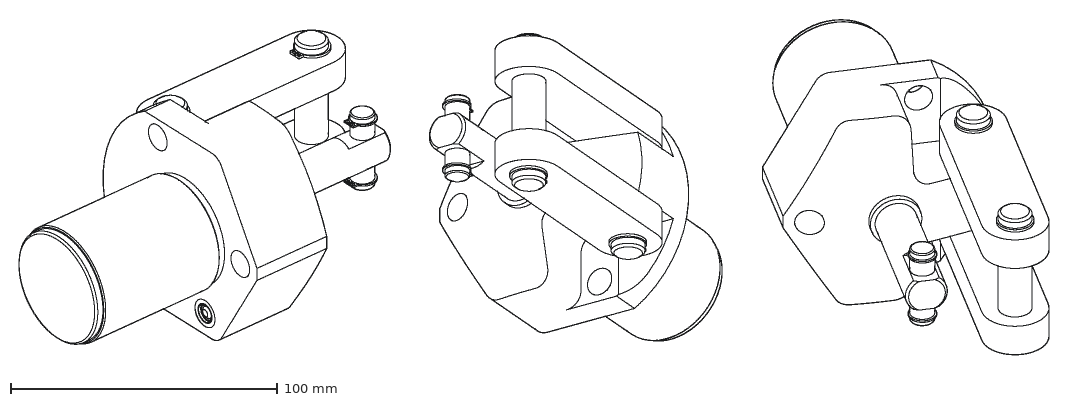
import cadquery as cq
import math


overall_length = 168.3
cylinder_length = 63.5
link_tip_y = overall_length - cylinder_length

head_radius = 47.5
head_height = 82.6
head_right_x = 41.4
head_slant_distance = 37.2
head_slant_angle = 30.0
head_corner_radius = 6.4
head_length = 41.2
cone_flat_radius = 16.5
cone_angle = 15.0
boss_radius = 10.0
boss_length = 2.5
head_top_z = head_height / 2

barrel_radius = 23.7
neck_radius = 22.7
neck_length = 3.0
end_cap_length = 3.4
barrel_chamfer = 0.5
end_cap_chamfer = 0.8

link_radius = 12.8
link_thickness = 12.8
link_inner_z = 13.0
link_outer_z = link_inner_z + link_thickness
link_x = link_radius - head_radius
link_tip_pin_y = link_tip_y - link_radius
link_pin_spacing = 69.7
link_root_pin_y = link_tip_pin_y - link_pin_spacing
link_pin_radius = 6.4
link_pin_half_length = 30.3
link_pin_chamfer = 1.0
link_pin_places = [(link_x, link_root_pin_y), (link_x, link_tip_pin_y)]

ledge_y = 12.6
pocket_radius = 14.3
pocket_wall_x = -7.5
pocket_fillet_radius = 6.4

mount_hole_radius = 5.4
side_hole_x = -15.8
side_hole_z = 33.3
right_hole_x = 31.8

port_x = 11.5
port_z = -31.8
seal_outer_radius = 5.7
seal_inner_radius = 4.0
seal_height = 0.5
port_step_radius = 3.7
port_step_depth = 1.0
port_bore_radius = 3.2
port_bore_depth = 2.0
port_stud_radius = 2.5
port_stud_tip_radius = 1.5

rod_radius = 8.0
rod_end_y = 95.4
rod_chamfer = 1.0
rod_flat_z = 6.4
rod_flat_start_y = 76.7
rod_pin_y = 87.5
rod_pin_radius = 4.7
rod_pin_half_length = 16.2
rod_pin_chamfer = 0.5
rod_clip_z = 13.0

link_clip_thickness = 1.0
rod_clip_thickness = 0.7
clip_offset = 0.3
clip_rim = 0.7
clip_ear_length = 2.0
clip_ear_width = 2.4
clip_gap = 0.5
clip_hole_radius = 0.5


def axial_cylinder(radius, start_y, end_y, x=0.0, z=0.0):
    """Cylinder along +Y from start_y to end_y."""
    return cq.Workplane("XZ", origin=(x, start_y, z)).circle(radius).extrude(start_y - end_y)


def revolved_about_y(points, x=0.0, z=0.0):
    """Full revolution of a (radius, y) outline about the line through (x, z) parallel to Y."""
    profile = cq.Workplane("XY").polyline(points).close()
    return profile.revolve(360, (0, 0, 0), (0, 1, 0)).translate((x, 0, z))


def mirrored_pair(shape):
    """The shape together with its mirror image across the plane Z = 0."""
    return shape.union(shape.mirror("XY"))


def make_pin(x, y, radius, half_length, chamfer, clip_z, clip_thickness):
    """Pin along Z, centred on Z = 0, with a retaining clip near each end."""
    pin = cq.Workplane("XY").center(x, y).circle(radius).extrude(half_length, both=True)
    pin = pin.faces("<Z or >Z").chamfer(chamfer)
    clip = make_clip(radius, clip_thickness).translate((x, y, clip_z))
    return pin.union(mirrored_pair(clip))


def make_clip(pin_radius, clip_thickness):
    """Retaining clip about Z, with two pierced ears on its -Y side."""
    ring = cq.Workplane("XY").center(0, clip_offset).circle(pin_radius + clip_rim).extrude(clip_thickness)
    ear_end_y = -pin_radius - clip_ear_length
    ear_x = (clip_gap + clip_ear_width) / 2
    ear_places = [(-ear_x, ear_end_y / 2), (ear_x, ear_end_y / 2)]
    ears = (
        cq.Workplane("XY").pushPoints(ear_places).rect(clip_ear_width, -ear_end_y).extrude(clip_thickness)
    )
    ear_hole_y = -pin_radius - clip_ear_length / 2
    ear_holes = [(-ear_x, ear_hole_y), (ear_x, ear_hole_y)]
    ears = ears.cut(
        cq.Workplane("XY").pushPoints(ear_holes).circle(clip_hole_radius).extrude(clip_thickness)
    )
    return ring.union(ears)


def make_head_blank():
    """Flange head: round on the left, tapering to a blunt nose on the right, with a conical end."""
    slant = math.radians(head_slant_angle)
    left_x = -math.sqrt(head_radius**2 - head_top_z**2)
    shoulder_x = (head_slant_distance - head_top_z * math.sin(slant)) / math.cos(slant)
    nose_z = (head_slant_distance - head_right_x * math.cos(slant)) / math.sin(slant)
    head = (
        cq.Workplane("XZ")
        .moveTo(left_x, head_top_z)
        .lineTo(shoulder_x, head_top_z)
        .lineTo(head_right_x, nose_z)
        .lineTo(head_right_x, -nose_z)
        .lineTo(shoulder_x, -head_top_z)
        .lineTo(left_x, -head_top_z)
        .threePointArc((-head_radius, 0), (left_x, head_top_z))
        .close()
        .extrude(-head_length)
    )
    for z in (head_top_z, -head_top_z):
        shoulder_edge = cq.selectors.NearestToPointSelector((shoulder_x, head_length / 2, z))
        head = head.edges("|Y").edges(shoulder_edge).fillet(head_corner_radius)
    cone_drop = (head_height - cone_flat_radius) * math.tan(math.radians(cone_angle))
    envelope = revolved_about_y(
        [
            (0, 0),
            (head_height, 0),
            (head_height, head_length - cone_drop),
            (cone_flat_radius, head_length),
            (0, head_length),
        ]
    )
    return head.intersect(envelope)


def make_pocket():
    """Recess on the +Z side of the lug, leaving a ledge and a scoop around the link root."""
    floor_y = link_root_pin_y - pocket_radius
    ledge_x = link_x + math.sqrt(pocket_radius**2 - (link_root_pin_y - ledge_y) ** 2)
    scoop_end_angle = math.atan2(ledge_y - link_root_pin_y, ledge_x - link_x)
    scoop_middle_angle = (scoop_end_angle - math.pi / 2) / 2
    scoop_middle = (
        link_x + pocket_radius * math.cos(scoop_middle_angle),
        link_root_pin_y + pocket_radius * math.sin(scoop_middle_angle),
    )
    outer_x = -head_height
    rounded_x = pocket_wall_x + pocket_fillet_radius
    side = (
        cq.Workplane("XY")
        .workplane(offset=link_inner_z)
        .moveTo(outer_x, floor_y)
        .lineTo(link_x, floor_y)
        .threePointArc(scoop_middle, (ledge_x, ledge_y))
        .lineTo(rounded_x, ledge_y)
        .lineTo(rounded_x, head_height)
        .lineTo(outer_x, head_height)
        .close()
        .extrude(head_top_z - link_inner_z)
    )
    bend = pocket_fillet_radius * math.sqrt(0.5)
    hollow_x = pocket_wall_x - pocket_fillet_radius
    hollow_z = link_inner_z + pocket_fillet_radius
    corner_z = head_top_z - pocket_fillet_radius
    wall = (
        cq.Workplane("XZ")
        .moveTo(outer_x, link_inner_z)
        .lineTo(hollow_x, link_inner_z)
        .threePointArc((hollow_x + bend, hollow_z - bend), (pocket_wall_x, hollow_z))
        .lineTo(pocket_wall_x, corner_z)
        .threePointArc((rounded_x - bend, corner_z + bend), (rounded_x, head_top_z))
        .lineTo(outer_x, head_top_z)
        .close()
        .extrude(-head_height)
    )
    return side.intersect(wall)


def make_barrel():
    """Cylinder barrel below the flange: neck, main diameter and end cap."""
    end_y = -cylinder_length
    cap_y = end_y + end_cap_length
    return revolved_about_y(
        [
            (0, 0),
            (neck_radius, 0),
            (neck_radius, -neck_length),
            (barrel_radius - barrel_chamfer, -neck_length),
            (barrel_radius, -neck_length - barrel_chamfer),
            (barrel_radius, cap_y + barrel_chamfer),
            (barrel_radius - barrel_chamfer, cap_y),
            (neck_radius, cap_y),
            (neck_radius, end_y + end_cap_chamfer),
            (neck_radius - end_cap_chamfer, end_y),
            (0, end_y),
        ]
    )


def add_port(housing):
    """Stepped oil port with a central stud, surrounded by a rounded sealing ring."""
    recess = revolved_about_y(
        [
            (port_stud_tip_radius, 0),
            (port_step_radius, 0),
            (port_step_radius, port_step_depth),
            (port_bore_radius, port_step_depth),
            (port_bore_radius, port_bore_depth),
            (port_stud_radius, port_bore_depth),
            (port_stud_radius, port_step_depth),
        ],
        port_x,
        port_z,
    )
    seal_middle_radius = (seal_outer_radius + seal_inner_radius) / 2
    seal = (
        cq.Workplane("XY")
        .moveTo(seal_inner_radius, 0)
        .threePointArc((seal_middle_radius, -seal_height), (seal_outer_radius, 0))
        .close()
        .revolve(360, (0, 0, 0), (0, 1, 0))
        .translate((port_x, 0, port_z))
    )
    return housing.cut(recess).union(seal)


def make_housing():
    housing = make_head_blank().cut(mirrored_pair(make_pocket()))
    housing = housing.union(axial_cylinder(boss_radius, 0, head_length + boss_length))
    hole_places = [(side_hole_x, side_hole_z), (side_hole_x, -side_hole_z), (right_hole_x, 0)]
    for x, z in hole_places:
        housing = housing.cut(axial_cylinder(mount_hole_radius, 0, head_length, x, z))
    housing = housing.union(make_barrel())
    housing = housing.cut(axial_cylinder(rod_radius, 0, head_length + boss_length))
    lug_bore = (
        cq.Workplane("XY")
        .center(link_x, link_root_pin_y)
        .circle(link_pin_radius)
        .extrude(link_inner_z, both=True)
    )
    return add_port(housing.cut(lug_bore))


def make_rod():
    """Piston rod, seated on the bottom of the head bore, with flats and a cross pin at its tip."""
    rod = axial_cylinder(rod_radius, 0, rod_end_y).faces(">Y").chamfer(rod_chamfer)
    flat_length = rod_end_y - rod_flat_start_y
    flat_cut = cq.Workplane("XY").box(
        2 * rod_radius, flat_length, rod_radius, centered=(True, False, False)
    ).translate((0, rod_flat_start_y, rod_flat_z))
    rod = rod.cut(mirrored_pair(flat_cut))
    cross_pin = make_pin(
        0,
        rod_pin_y,
        rod_pin_radius,
        rod_pin_half_length,
        rod_pin_chamfer,
        rod_clip_z,
        rod_clip_thickness,
    )
    return rod.union(cross_pin)


def make_linkage():
    """Two parallel links held together by their root and tip pins; the root pin turns in the lug bore."""
    link_middle_y = (link_root_pin_y + link_tip_pin_y) / 2
    link = (
        cq.Workplane("XY")
        .workplane(offset=link_inner_z)
        .center(link_x, link_middle_y)
        .slot2D(link_pin_spacing + 2 * link_radius, 2 * link_radius, 90)
        .extrude(link_thickness)
    )
    linkage = mirrored_pair(link)
    for x, y in link_pin_places:
        linkage = linkage.union(
            make_pin(
                x,
                y,
                link_pin_radius,
                link_pin_half_length,
                link_pin_chamfer,
                link_outer_z,
                link_clip_thickness,
            )
        )
    return linkage


housing = make_housing().solids().val()
rod = make_rod().solids().val()
linkage = make_linkage().solids().val()

result = cq.Compound.makeCompound([housing, rod, linkage])